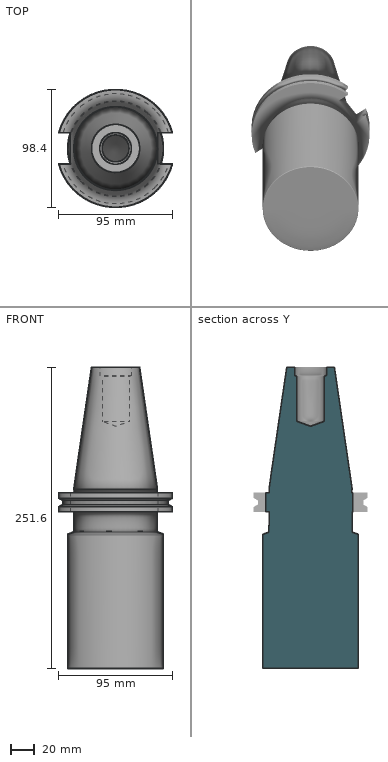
import cadquery as cq
import math

GAUGE_DIAMETER = 69.85
TAPER_LENGTH = 101.6
TAPER_RATIO = 7 / 24
GAUGE_LAND_LENGTH = 0.4
RELIEF_DIAMETER = 69.4
RELIEF_FILLET = 0.5

FLANGE_DIAMETER = 98.43
FLANGE_TOP_Z = -3.18
FLANGE_BOTTOM_Z = -19.05
GROOVE_CENTER_Z = -11.3
GROOVE_FLOOR_DIAMETER = 91.9
GROOVE_FLOOR_WIDTH = 3.6
GROOVE_FLANK_ANGLE = 30

SLOT_WIDTH = 25.91
LEFT_SLOT_FLOOR_X = -37.7
RIGHT_SLOT_FLOOR_X = 35.3

NECK_DIAMETER = GAUGE_DIAMETER
BODY_DIAMETER = 80
SHOULDER_TOP_Z = -35.9
SHOULDER_ANGLE = 20
SHOULDER_FILLET = 0.8
BODY_BOTTOM_Z = -150
BODY_BOTTOM_CHAMFER = 0.5

COUNTERBORE_DIAMETER = 26.38
COUNTERBORE_DEPTH = 6.5
BORE_DIAMETER = 22.5
BORE_DEPTH = 45
DRILL_POINT_ANGLE = 140
STEP_ANGLE = 120


def revolve_profile(points):
    """Revolve a closed (radius, Z) outline about the Z axis."""
    return cq.Workplane("XZ").polyline(points).close().revolve(360, (0, 0), (0, 1))


def make_shank():
    """Taper, gauge land and the relief below them, which has a round at both ends."""
    gauge_radius = GAUGE_DIAMETER / 2
    relief_radius = RELIEF_DIAMETER / 2
    small_end_radius = gauge_radius - TAPER_LENGTH * TAPER_RATIO / 2
    round_center_radius = relief_radius + RELIEF_FILLET
    upper_round_height = math.sqrt(RELIEF_FILLET**2 - (round_center_radius - gauge_radius) ** 2)
    return (
        cq.Workplane("XZ")
        .moveTo(0, TAPER_LENGTH)
        .lineTo(small_end_radius, TAPER_LENGTH)
        .lineTo(gauge_radius, 0)
        .lineTo(gauge_radius, -GAUGE_LAND_LENGTH)
        .radiusArc((relief_radius, -GAUGE_LAND_LENGTH - upper_round_height), -RELIEF_FILLET)
        .lineTo(relief_radius, FLANGE_TOP_Z + RELIEF_FILLET)
        .radiusArc((round_center_radius, FLANGE_TOP_Z), -RELIEF_FILLET)
        .lineTo(0, FLANGE_TOP_Z)
        .close()
        .revolve(360, (0, 0), (0, 1))
    )


def make_flange():
    rim_radius = FLANGE_DIAMETER / 2
    floor_radius = GROOVE_FLOOR_DIAMETER / 2
    half_floor = GROOVE_FLOOR_WIDTH / 2
    flank_height = (rim_radius - floor_radius) * math.tan(math.radians(GROOVE_FLANK_ANGLE))
    half_mouth = half_floor + flank_height
    return revolve_profile([
        (0, FLANGE_TOP_Z),
        (rim_radius, FLANGE_TOP_Z),
        (rim_radius, GROOVE_CENTER_Z + half_mouth),
        (floor_radius, GROOVE_CENTER_Z + half_floor),
        (floor_radius, GROOVE_CENTER_Z - half_floor),
        (rim_radius, GROOVE_CENTER_Z - half_mouth),
        (rim_radius, FLANGE_BOTTOM_Z),
        (0, FLANGE_BOTTOM_Z),
    ])


def make_slot_cutter(floor_x):
    """Block reaching from the slot floor outward past the flange rim."""
    outer_x = math.copysign(FLANGE_DIAMETER, floor_x)
    flange_height = FLANGE_TOP_Z - FLANGE_BOTTOM_Z
    return cq.Workplane("XY").box(abs(outer_x - floor_x), SLOT_WIDTH, flange_height).translate(
        ((outer_x + floor_x) / 2, 0, (FLANGE_TOP_Z + FLANGE_BOTTOM_Z) / 2)
    )


def make_body():
    """Neck, conical shoulder and cylindrical body, with rounds at both ends of the shoulder."""
    neck_radius = NECK_DIAMETER / 2
    body_radius = BODY_DIAMETER / 2
    shoulder_drop = (body_radius - neck_radius) * math.tan(math.radians(SHOULDER_ANGLE))
    shoulder_bottom_z = SHOULDER_TOP_Z - shoulder_drop
    body = revolve_profile([
        (0, FLANGE_BOTTOM_Z),
        (neck_radius, FLANGE_BOTTOM_Z),
        (neck_radius, SHOULDER_TOP_Z),
        (body_radius, shoulder_bottom_z),
        (body_radius, BODY_BOTTOM_Z),
        (0, BODY_BOTTOM_Z),
    ])
    inner_edge = cq.selectors.NearestToPointSelector((0, 0, SHOULDER_TOP_Z))
    outer_edge = cq.selectors.NearestToPointSelector((0, 0, shoulder_bottom_z))
    body = body.faces("<Z").chamfer(BODY_BOTTOM_CHAMFER)
    body = body.edges("%CIRCLE").edges(outer_edge).fillet(SHOULDER_FILLET)
    return body.edges("%CIRCLE").edges(inner_edge).fillet(SHOULDER_FILLET)


def make_drawbar_hole():
    counterbore_radius = COUNTERBORE_DIAMETER / 2
    bore_radius = BORE_DIAMETER / 2
    counterbore_floor_z = TAPER_LENGTH - COUNTERBORE_DEPTH
    bore_end_z = TAPER_LENGTH - BORE_DEPTH
    point_length = bore_radius / math.tan(math.radians(DRILL_POINT_ANGLE / 2))
    step_height = (counterbore_radius - bore_radius) / math.tan(math.radians(STEP_ANGLE / 2))
    return revolve_profile([
        (0, TAPER_LENGTH),
        (counterbore_radius, TAPER_LENGTH),
        (counterbore_radius, counterbore_floor_z),
        (bore_radius, counterbore_floor_z - step_height),
        (bore_radius, bore_end_z),
        (0, bore_end_z - point_length),
    ])


holder = make_body().union(make_flange()).union(make_shank())
for slot_floor_x in (LEFT_SLOT_FLOOR_X, RIGHT_SLOT_FLOOR_X):
    holder = holder.cut(make_slot_cutter(slot_floor_x))

result = holder.cut(make_drawbar_hole())